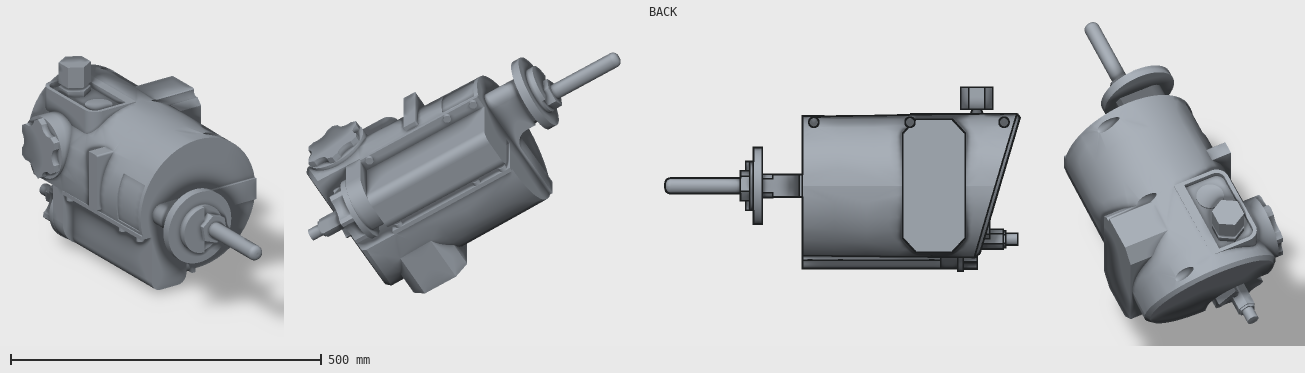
import cadquery as cq
import math


CUT_REACH = 229.0

DRUM_END_X = 351.0
DRUM_RADIUS_SLANTED_END = 117.0
DRUM_RADIUS_OUTPUT_END = 113.0
SLANT_X_ON_AXIS = 32.5
SLANT_ANGLE = 16.5
SLANT_CHAMFER = 7.0

TRAY_X_MIN, TRAY_X_MAX = 31.5, 176.0
TRAY_Y_MIN = -87.0
TRAY_RIM_Z = 116.0
TRAY_PAD_BOTTOM_Z = 57.0
TRAY_CORNER_RADIUS = 20.5
TRAY_WALL = 6.5
TRAY_BACK_WALL = 15.5
TRAY_DEPTH = 10.0
TRAY_FLOOR_Z = TRAY_RIM_Z - TRAY_DEPTH
PLUG_X, BUTTON_X = 70.0, 137.5
TRAY_PARTS_Y = -46.5
PLUG_ACROSS_CORNERS = 52.0
PLUG_CAP_BOTTOM_Z, PLUG_TOP_Z = 123.0, 159.0
PLUG_NECK_RADIUS, PLUG_NECK_FOOT_RADIUS = 7.5, 10.0
BUTTON_RADIUS = 22.5
BUTTON_HEIGHT = 2.5

KNOB_X, KNOB_Z = 88.0, 34.0
BOSS_RADIUS = 52.0
BOSS_FACE_Y = -121.0
FRONT_KNOB_THICKNESS = 11.0
FRONT_KNOB_ANGLE = 30.0
KNOB_SIDES = 6
FRONT_SCALLOP_RADIUS = 19.0
SCALLOP_DEPTH = 6.5

RIB_X_MIN, RIB_X_MAX = 216.0, 239.0
RIB_Z_MIN, RIB_Z_MAX = -24.5, 74.0
RIB_FILLET = 3.0
LABEL_X_MIN, LABEL_X_MAX = 284.0, 344.0
LABEL_Z_MIN, LABEL_Z_MAX = RIB_Z_MIN, 54.5
LABEL_DEPTH = 2.0

BLOCK_X_MIN, BLOCK_X_MAX = 88.0, 189.5
BLOCK_HALF_HEIGHT = 107.0
BLOCK_CHAMFER_X, BLOCK_CHAMFER_Z = 21.0, 23.0
BLOCK_FACE_Y = 118.5

BORE_XS = (26.0, 177.5, 332.5)
BORE_Z = 102.5
BORE_RADIUS = 8.0
BORE_END_Y = 17.0

SELECTOR_Y, SELECTOR_Z = -59.5, -86.0
POCKET_RADIUS = 56.0
POCKET_END_X = 128.0
POCKET_TOP_Z = SELECTOR_Z + POCKET_RADIUS
RAIL_THICKNESS = 7.0
STEP_Z = POCKET_TOP_Z - RAIL_THICKNESS
STEP_Y = -12.0
RAIL_OUTER_Y = -111.5
RAIL_BOTTOM_Z = -119.5
SCREW_XS = (142.5, 289.5, 339.0)
SCREW_HEAD_RADIUS = 6.5
SCREW_HEAD_HEIGHT = 6.5

BOX_Y_MIN, BOX_Y_MAX = -90.5, -23.0
BOX_BOTTOM_Z = -133.5
BOX_FILLET = 16.5
NOSE_X_MIN = 100.5
NOSE_RADIUS = 44.5
NOSE_CENTER_Z = BOX_BOTTOM_Z + NOSE_RADIUS
NOSE_OUTER_Y = -110.5

SELECTOR_DISC_RADIUS = 52.0
SELECTOR_DISC_X = 91.5
SELECTOR_STAR_X = 68.5
SELECTOR_STAR_RADIUS = 50.5
SELECTOR_STAR_ANGLE = 14.0
SELECTOR_SCALLOP_RADIUS = 28.5
HEX_BAR_X, HEX_COLLAR_X, TIP_X = 27.0, 23.5, 3.5
HEX_BAR_RADIUS, HEX_COLLAR_RADIUS, TIP_RADIUS = 16.0, 14.0, 10.0
HEX_BAR_ANGLE = 92.0
LEVER_ANGLE = 55.0
LEVER_X = 55.5
LEVER_WIDTH = 14.0
LEVER_INNER, LEVER_OUTER = 20.0, 29.0
LEVER_SHORT_SIDE, LEVER_LONG_SIDE = 9.0, 27.5

NECK_Y_MIN, NECK_Y_MAX = -90.0, -10.0
NECK_HALF_HEIGHT = 18.5
NECK_ROUNDING = 18.0
WEB_TOP_Y = 111.0
WEB_THICKNESS = 5.0
WEB_FILLET = 26.0
PAD_X = 398.0
PAD_Y_MIN = -55.0
PAD_HALF_HEIGHT = 19.0
PAD_CHAMFER = 7.5
FLANGE_Y = -51.5
FLANGE_X_MIN, FLANGE_X_MAX = 415.5, 429.5
FLANGE_RADIUS = 62.0
RING_RADIUS = 39.5
RING_LOW_X, RING_HIGH_X = 435.5, 442.5
SHAFT_Y = -36.5
NUT_END_X = 451.0
NUT_RADIUS = 24.5
NUT_ANGLE = 39.0
SHAFT_RADIUS = 12.5
SHAFT_END_X = 572.0
SHAFT_END_FILLET = 9.0


def box(x_min, x_max, y_min, y_max, z_min, z_max):
    size = (x_max - x_min, y_max - y_min, z_max - z_min)
    return cq.Workplane("XY").box(*size, centered=False).translate((x_min, y_min, z_min))


def rod_x(radius, x_min, x_max, y, z):
    return cq.Workplane("YZ", origin=(x_min, y, z)).circle(radius).extrude(x_max - x_min)


def hex_x(radius, x_min, x_max, y, z, angle):
    """Hexagonal bar along X with one corner at the given angle from +Y towards +Z."""
    bar = cq.Workplane("YZ", origin=(x_min, y, z)).polygon(6, 2 * radius).extrude(x_max - x_min)
    return bar.rotate((0, y, z), (1, y, z), angle)


def star(plane, corner_radius, scallop_radius, thickness):
    """Six-cornered knob with a shallow round scallop in the middle of each side."""
    half_side_angle = 180 / KNOB_SIDES
    flat_distance = corner_radius * math.cos(math.radians(half_side_angle))
    scallop_distance = flat_distance - SCALLOP_DEPTH + scallop_radius
    blank = cq.Workplane(plane).polygon(KNOB_SIDES, 2 * corner_radius).extrude(thickness)
    scallops = (
        cq.Workplane(plane)
        .polarArray(scallop_distance, half_side_angle, 360, KNOB_SIDES)
        .circle(scallop_radius)
        .extrude(thickness)
    )
    return blank.cut(scallops)


def make_drum():
    cone = (
        cq.Workplane("XY")
        .moveTo(-SLANT_X_ON_AXIS, 0)
        .lineTo(-SLANT_X_ON_AXIS, DRUM_RADIUS_SLANTED_END)
        .lineTo(DRUM_END_X, DRUM_RADIUS_OUTPUT_END)
        .lineTo(DRUM_END_X, 0)
        .close()
        .revolve(360, (0, 0, 0), (1, 0, 0))
    )
    waste = (
        box(-CUT_REACH, 0, -CUT_REACH, CUT_REACH, -CUT_REACH, CUT_REACH)
        .rotate((0, 0, 0), (0, 1, 0), -SLANT_ANGLE)
        .translate((SLANT_X_ON_AXIS, 0, 0))
    )
    return cone.cut(waste).faces("<X").edges().chamfer(SLANT_CHAMFER)


def make_tray():
    """Solid pad under the tray rim, and the hollow to be cut from it."""
    pad = box(TRAY_X_MIN, TRAY_X_MAX, TRAY_Y_MIN, 0, TRAY_PAD_BOTTOM_Z, TRAY_RIM_Z)
    pad = pad.edges("|Z and <Y").fillet(TRAY_CORNER_RADIUS)
    hollow = box(
        TRAY_X_MIN + TRAY_WALL, TRAY_X_MAX - TRAY_WALL,
        TRAY_Y_MIN + TRAY_WALL, -TRAY_BACK_WALL,
        TRAY_FLOOR_Z, TRAY_RIM_Z,
    )
    hollow = hollow.edges("|Z and <Y").fillet(TRAY_CORNER_RADIUS - TRAY_WALL)
    return pad, hollow


def make_knob_boss():
    return cq.Workplane("XZ", origin=(KNOB_X, 0, KNOB_Z)).circle(BOSS_RADIUS).extrude(-BOSS_FACE_Y)


def make_rib():
    rib = box(RIB_X_MIN, RIB_X_MAX, BOSS_FACE_Y, 0, RIB_Z_MIN, RIB_Z_MAX)
    return rib.edges("|Y and >X").fillet(RIB_FILLET)


def cut_label(body):
    window = box(LABEL_X_MIN, LABEL_X_MAX, -CUT_REACH, 0, LABEL_Z_MIN, LABEL_Z_MAX)
    core = rod_x(DRUM_RADIUS_OUTPUT_END - LABEL_DEPTH, LABEL_X_MIN, LABEL_X_MAX, 0, 0)
    return body.cut(window.cut(core))


def make_side_block():
    x_inner_min = BLOCK_X_MIN + BLOCK_CHAMFER_X
    x_inner_max = BLOCK_X_MAX - BLOCK_CHAMFER_X
    z_shoulder = BLOCK_HALF_HEIGHT - BLOCK_CHAMFER_Z
    return (
        cq.Workplane("XZ")
        .polyline([
            (BLOCK_X_MIN, -z_shoulder),
            (BLOCK_X_MIN, z_shoulder),
            (x_inner_min, BLOCK_HALF_HEIGHT),
            (x_inner_max, BLOCK_HALF_HEIGHT),
            (BLOCK_X_MAX, z_shoulder),
            (BLOCK_X_MAX, -z_shoulder),
            (x_inner_max, -BLOCK_HALF_HEIGHT),
            (x_inner_min, -BLOCK_HALF_HEIGHT),
        ])
        .close()
        .extrude(-BLOCK_FACE_Y)
    )


def cut_bores(body):
    for x in BORE_XS:
        start = (x, BORE_END_Y, BORE_Z)
        bore = cq.Workplane("XZ", origin=start).circle(BORE_RADIUS).extrude(-CUT_REACH)
        body = body.cut(bore)
    return body


def make_pocket():
    """Space around the selector, open towards -Y and -Z."""
    pocket = rod_x(POCKET_RADIUS, -CUT_REACH, POCKET_END_X, SELECTOR_Y, SELECTOR_Z)
    right = SELECTOR_Y + POCKET_RADIUS
    below = box(-CUT_REACH, POCKET_END_X, -CUT_REACH, right, -CUT_REACH, SELECTOR_Z)
    beside = box(-CUT_REACH, POCKET_END_X, -CUT_REACH, SELECTOR_Y, -CUT_REACH, POCKET_TOP_Z)
    return pocket.union(below).union(beside)


def cut_motor_step(body):
    """Square step for the motor box, edged by two rails with screw heads."""
    step = box(POCKET_END_X, DRUM_END_X, -CUT_REACH, STEP_Y, -CUT_REACH, STEP_Z)
    body = body.cut(step)
    side_rail = box(POCKET_END_X, DRUM_END_X, RAIL_OUTER_Y, STEP_Y, STEP_Z, POCKET_TOP_Z)
    bottom_rail = box(
        POCKET_END_X, DRUM_END_X, STEP_Y, STEP_Y + RAIL_THICKNESS, RAIL_BOTTOM_Z, STEP_Z
    )
    body = body.union(side_rail).union(bottom_rail)
    for x in SCREW_XS:
        side_origin = (x, RAIL_OUTER_Y + SCREW_HEAD_RADIUS, STEP_Z)
        side_head = cq.Workplane("XY", origin=side_origin).circle(SCREW_HEAD_RADIUS)
        body = body.union(side_head.extrude(-SCREW_HEAD_HEIGHT))
        bottom_origin = (x, STEP_Y, RAIL_BOTTOM_Z + SCREW_HEAD_RADIUS)
        bottom_head = cq.Workplane("XZ", origin=bottom_origin).circle(SCREW_HEAD_RADIUS)
        body = body.union(bottom_head.extrude(SCREW_HEAD_HEIGHT))
    return body


def make_neck():
    web_x = DRUM_END_X + WEB_THICKNESS
    bend = WEB_FILLET * (1 - math.sqrt(0.5))
    neck = (
        cq.Workplane("XY", origin=(0, 0, -NECK_HALF_HEIGHT))
        .moveTo(DRUM_END_X, WEB_TOP_Y)
        .lineTo(web_x, WEB_TOP_Y)
        .lineTo(web_x, NECK_Y_MAX + WEB_FILLET)
        .threePointArc(
            (web_x + bend, NECK_Y_MAX + bend),
            (web_x + WEB_FILLET, NECK_Y_MAX),
        )
        .lineTo(FLANGE_X_MIN, NECK_Y_MAX)
        .lineTo(FLANGE_X_MIN, NECK_Y_MIN)
        .lineTo(DRUM_END_X, NECK_Y_MIN)
        .close()
        .extrude(2 * NECK_HALF_HEIGHT)
        .edges("|X and <Y")
        .fillet(NECK_ROUNDING)
    )
    pad = box(PAD_X, FLANGE_X_MIN, PAD_Y_MIN, NECK_Y_MAX, -PAD_HALF_HEIGHT, PAD_HALF_HEIGHT)
    pad = pad.edges("|X and >Y").chamfer(PAD_CHAMFER)
    notch = box(PAD_X, FLANGE_X_MIN, PAD_Y_MIN, NECK_Y_MAX, -CUT_REACH, CUT_REACH)
    return neck.cut(notch).union(pad)


def make_housing():
    pad, hollow = make_tray()
    body = make_drum().union(pad).union(make_knob_boss()).union(make_rib())
    body = cut_label(body)
    body = cut_bores(body.union(make_side_block()))
    body = body.cut(make_pocket())
    body = cut_motor_step(body)
    return body.union(make_neck()).cut(hollow)


def make_motor_box():
    case = box(POCKET_END_X, DRUM_END_X, BOX_Y_MIN, BOX_Y_MAX, BOX_BOTTOM_Z, STEP_Z)
    case = case.edges("|X and <Z").fillet(BOX_FILLET)
    nose_y = NOSE_OUTER_Y + NOSE_RADIUS
    nose = box(
        NOSE_X_MIN, POCKET_END_X, NOSE_OUTER_Y, nose_y + NOSE_RADIUS, NOSE_CENTER_Z, POCKET_TOP_Z
    )
    nose = nose.intersect(make_pocket())
    nose = nose.union(rod_x(NOSE_RADIUS, NOSE_X_MIN, POCKET_END_X, nose_y, NOSE_CENTER_Z))
    return case.union(nose)


def make_lever():
    """Flat bar on a round stem, built pointing along +Z and then turned about the selector axis."""
    half_width = LEVER_WIDTH / 2
    bar = box(
        LEVER_X - half_width, LEVER_X + half_width,
        -LEVER_SHORT_SIDE, LEVER_LONG_SIDE,
        LEVER_INNER, LEVER_OUTER,
    )
    stem = cq.Workplane("XY", origin=(LEVER_X, 0, 0)).circle(half_width).extrude(LEVER_INNER)
    lever = bar.union(stem).rotate((0, 0, 0), (1, 0, 0), LEVER_ANGLE - 90)
    return lever.translate((0, SELECTOR_Y, SELECTOR_Z))


def make_selector():
    axis = (SELECTOR_Y, SELECTOR_Z)
    disc = rod_x(SELECTOR_DISC_RADIUS, SELECTOR_DISC_X, NOSE_X_MIN, *axis)
    star_thickness = SELECTOR_DISC_X - SELECTOR_STAR_X
    grip = star("YZ", SELECTOR_STAR_RADIUS, SELECTOR_SCALLOP_RADIUS, star_thickness)
    grip = grip.rotate((0, 0, 0), (1, 0, 0), SELECTOR_STAR_ANGLE)
    grip = grip.translate((SELECTOR_STAR_X, *axis))
    bar = hex_x(HEX_BAR_RADIUS, HEX_BAR_X, SELECTOR_STAR_X, *axis, HEX_BAR_ANGLE)
    collar = hex_x(HEX_COLLAR_RADIUS, HEX_COLLAR_X, HEX_BAR_X, *axis, HEX_BAR_ANGLE)
    tip = rod_x(TIP_RADIUS, TIP_X, HEX_COLLAR_X, *axis)
    return disc.union(grip).union(bar).union(collar).union(tip).union(make_lever())


def make_front_knob():
    knob = star("XZ", BOSS_RADIUS, FRONT_SCALLOP_RADIUS, FRONT_KNOB_THICKNESS)
    knob = knob.rotate((0, 0, 0), (0, 1, 0), FRONT_KNOB_ANGLE)
    return knob.translate((KNOB_X, BOSS_FACE_Y, KNOB_Z))


def make_plug():
    """Hexagonal base in the tray, a tapered neck and a hexagonal cap above the rim."""
    center = (PLUG_X, TRAY_PARTS_Y)
    base = cq.Workplane("XY", origin=(*center, TRAY_FLOOR_Z)).polygon(6, PLUG_ACROSS_CORNERS)
    base = base.extrude(TRAY_DEPTH)
    neck_height = PLUG_CAP_BOTTOM_Z - TRAY_RIM_Z
    neck = (
        cq.Workplane("XY", origin=(*center, TRAY_RIM_Z))
        .circle(PLUG_NECK_FOOT_RADIUS)
        .workplane(offset=neck_height)
        .circle(PLUG_NECK_RADIUS)
        .loft()
    )
    cap = cq.Workplane("XY", origin=(*center, PLUG_CAP_BOTTOM_Z)).polygon(6, PLUG_ACROSS_CORNERS)
    cap = cap.extrude(PLUG_TOP_Z - PLUG_CAP_BOTTOM_Z)
    return base.union(neck).union(cap)


def make_button():
    button = cq.Workplane("XY", origin=(BUTTON_X, TRAY_PARTS_Y, TRAY_FLOOR_Z))
    return button.circle(BUTTON_RADIUS).extrude(BUTTON_HEIGHT)


def make_nut():
    return hex_x(NUT_RADIUS, RING_LOW_X, NUT_END_X, SHAFT_Y, 0, NUT_ANGLE)


def make_flange():
    """Round flange with a spigot whose -Y half is higher and makes room for the shaft's nut."""
    plate = rod_x(FLANGE_RADIUS, FLANGE_X_MIN, FLANGE_X_MAX, FLANGE_Y, 0)
    ring = rod_x(RING_RADIUS, FLANGE_X_MAX, RING_HIGH_X, FLANGE_Y, 0)
    upper_half = box(RING_LOW_X, RING_HIGH_X, FLANGE_Y, CUT_REACH, -CUT_REACH, CUT_REACH)
    return plate.union(ring.cut(upper_half)).cut(make_nut())


def make_output_shaft():
    rod = rod_x(SHAFT_RADIUS, NUT_END_X, SHAFT_END_X, SHAFT_Y, 0)
    rod = rod.faces(">X").edges().fillet(SHAFT_END_FILLET)
    return make_nut().union(rod)


housing = make_housing()
motor_box = make_motor_box()
selector = make_selector()
front_knob = make_front_knob()
plug = make_plug()
button = make_button()
flange = make_flange()
output_shaft = make_output_shaft()

result = cq.Compound.makeCompound([
    housing.val(),
    motor_box.val(),
    selector.val(),
    front_knob.val(),
    plug.val(),
    button.val(),
    flange.val(),
    output_shaft.val(),
])